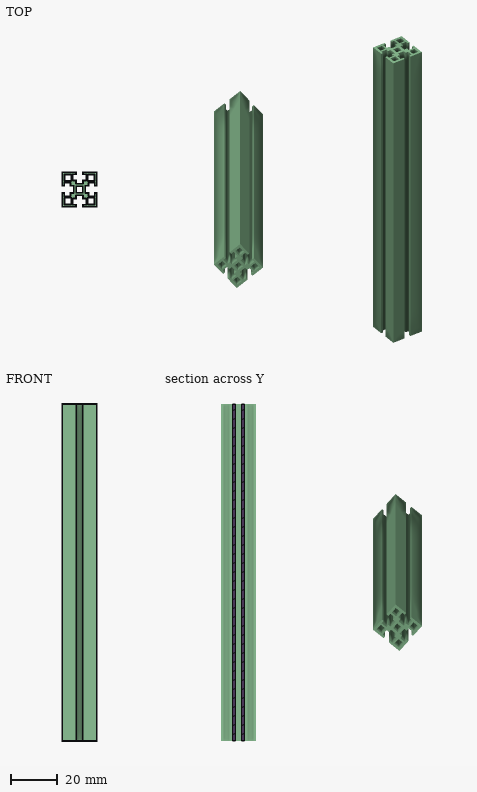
import cadquery as cq

side = 15.0
length = 145.0

slot_width = 3.0
lip_thickness = 1.0
chamber_width = 5.7
chamber_floor_depth = 3.6
slot_depth = 5.0

core_hole_side = 2.65
corner_hole_side = 2.7
corner_wall = 1.15

half_side = side / 2
corner_hole_center = half_side - corner_wall - corner_hole_side / 2


def bar(width, depth, x, y):
    """Full-length rectangular bar centred at (x, y)."""
    return cq.Workplane("XY").center(x, y).rect(width, depth).extrude(length)


def slot_cutter():
    """Slot open to the +X face: narrow mouth, wide chamber, narrow groove in the chamber floor."""
    mouth = bar(slot_depth, slot_width, half_side - slot_depth / 2, 0)
    chamber_depth = chamber_floor_depth - lip_thickness
    chamber_center = half_side - lip_thickness - chamber_depth / 2
    return mouth.union(bar(chamber_depth, chamber_width, chamber_center, 0))


def cut_slots(body):
    for angle in (0, 90, 180, 270):
        body = body.cut(slot_cutter().rotate((0, 0, 0), (0, 0, 1), angle))
    return body


def cut_hollows(body):
    body = body.cut(bar(core_hole_side, core_hole_side, 0, 0))
    for x_sign in (-1, 1):
        for y_sign in (-1, 1):
            hole_x = x_sign * corner_hole_center
            hole_y = y_sign * corner_hole_center
            body = body.cut(bar(corner_hole_side, corner_hole_side, hole_x, hole_y))
    return body


blank = bar(side, side, 0, 0)
result = cut_hollows(cut_slots(blank))